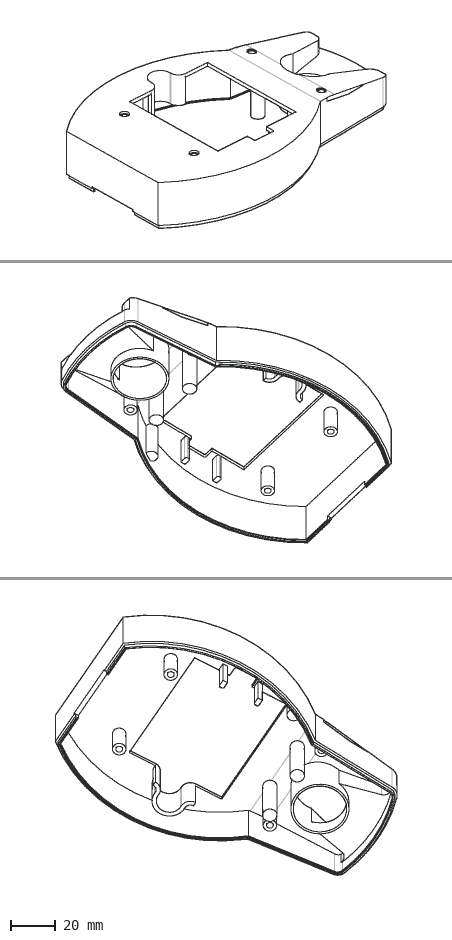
import cadquery as cq
import math

BODY_TOP = 22.7
LIP_DEPTH = 2.3
PIN_DEPTH = 4.2
WALL = 2.3
ROOF = 2.0
LIP_INSET = 1.0
REBATE_TOP = -1.4
REBATE_WIDTH = 0.5

BELLY_HALF_WIDTH = 96.2 / 2
BELLY_END_HALF_WIDTH = 30.0
BELLY_HALF_LENGTH = 50.1
NOSE_TIP_Y = 100.5
NOSE_CORNER_X = 26.0
NOSE_CORNER_Y = 95.8
NOSE_CORNER_RADIUS = 5.4

SLOPE_START_Y = BELLY_HALF_LENGTH
SLOPE_BLEND_LENGTH = 9.6
SLOPE_ANGLE = 10.7

LEDGE_TOP = 7.8
HORN_END_Y = 95.6
HORN_INNER_X = 17.3
HORN_CORNER_RADIUS = 4.5
POCKET_NECK_X = 11.1
POCKET_WALL = 1.0
EYE_Y = 70.2
EYE_DIAMETER = 24.0
EYE_TUBE_DIAMETER = 26.0

WINDOW_WIDTH = 57.7
WINDOW_LENGTH = 48.2
WINDOW_Y = 11.9
NOTCH_WIDTH = 11.7
LEFT_NOTCH_X = -40.0
LEFT_NOTCH_MOUTH_RADIUS = 4.7
RIGHT_NOTCH_X = 33.9
RIGHT_NOTCH_RADIUS = 0.8

SCREW_X = 22.7
SCREW_FRONT_Y = -21.1
SCREW_REAR_Y = 57.5
SCREW_DIAMETER = 3.0
SCREW_HEAD_DIAMETER = 4.4
SCREW_HEAD_DEPTH = 1.2
BOSS_DIAMETER = 6.0
BOSS_BOTTOM = 7.5

PIN_X = 12.0
PIN_Y = 51.2
PIN_DIAMETER = 6.5

FRONT_SLOT_WIDTH = 26.7
FRONT_SLOT_TOP = 0.9

GUIDE_LENGTH = 3.8
GUIDE_THICKNESS = 2.4
GUIDE_EDGE_RADIUS = 0.9
GUIDE_BOTTOM = 6.5
GUIDE_CENTERS_Y = (1.5, 19.7)

POST_X = 35.2
POST_Y = 35.7
POST_DIAMETER = 6.0
POST_BOTTOM = 2.4

SLEEVE_WALL = 2.0
SLEEVE_BOTTOM = 6.5

RELIEF_DEPTH = 0.2
SIDE_RELIEF = [(54.7, 20.6), (69.0, 17.8), (78.7, 17.8)]

WINDOW_HALF_WIDTH = WINDOW_WIDTH / 2
ROOF_UNDERSIDE = BODY_TOP - ROOF


def offset_prism(prism, growth, height):
    """Upright prism with its outline moved outwards by growth, keeping sharp corners."""
    base_z = prism.val().BoundingBox().zmin
    outline = prism.faces("<Z").wires().val()
    grown = outline.offset2D(growth, "intersection")
    return cq.Workplane("XY", origin=(0, 0, base_z)).add(grown).toPending().extrude(height, combine=False)


def slab(z_bottom, z_top, inset=0.0):
    """Plan outline of the body, moved inwards by inset, between two heights."""
    outline = (
        cq.Workplane("XY", origin=(0, 0, z_bottom))
        .moveTo(-BELLY_END_HALF_WIDTH, -BELLY_HALF_LENGTH)
        .lineTo(BELLY_END_HALF_WIDTH, -BELLY_HALF_LENGTH)
        .threePointArc((BELLY_HALF_WIDTH, 0), (BELLY_END_HALF_WIDTH, BELLY_HALF_LENGTH))
        .lineTo(NOSE_CORNER_X, NOSE_CORNER_Y)
        .threePointArc((0, NOSE_TIP_Y), (-NOSE_CORNER_X, NOSE_CORNER_Y))
        .lineTo(-BELLY_END_HALF_WIDTH, BELLY_HALF_LENGTH)
        .threePointArc((-BELLY_HALF_WIDTH, 0), (-BELLY_END_HALF_WIDTH, -BELLY_HALF_LENGTH))
        .close()
    )
    rounded = (
        outline.extrude(z_top - z_bottom)
        .edges("|Z").edges(">Y").fillet(NOSE_CORNER_RADIUS)
    )
    if inset == 0:
        return rounded
    return offset_prism(rounded, -inset, z_top - z_bottom)


def above_slope(drop):
    """Space above the sloping nose roof, lowered by drop."""
    angle = math.radians(SLOPE_ANGLE)
    blend_radius = SLOPE_BLEND_LENGTH / math.sin(angle)
    top = BODY_TOP - drop

    def blend_point(turn):
        y = SLOPE_START_Y + blend_radius * math.sin(turn)
        z = top - blend_radius * (1 - math.cos(turn))
        return (y, z)

    blend_end_y, blend_end_z = blend_point(angle)
    far_y = NOSE_TIP_Y + WALL
    far_z = blend_end_z - (far_y - blend_end_y) * math.tan(angle)
    return (
        cq.Workplane("YZ")
        .moveTo(SLOPE_START_Y, top)
        .threePointArc(blend_point(angle / 2), (blend_end_y, blend_end_z))
        .lineTo(far_y, far_z)
        .lineTo(far_y, BODY_TOP + ROOF)
        .lineTo(SLOPE_START_Y, BODY_TOP + ROOF)
        .close()
        .extrude(BELLY_HALF_WIDTH, both=True)
    )


def cylinder(x, y, diameter, z_bottom, z_top):
    """Upright cylinder between two heights."""
    return cq.Workplane("XY", origin=(x, y, z_bottom)).circle(diameter / 2).extrude(z_top - z_bottom)


def nose_pocket(z_bottom, growth):
    """Open space between the horns, enlarged sideways by growth."""
    far_x = BELLY_HALF_WIDTH
    far_y = NOSE_TIP_Y + WALL
    right_edge = [
        (POCKET_NECK_X, EYE_Y),
        (HORN_INNER_X, HORN_END_Y),
        (far_x, HORN_END_Y),
        (far_x, far_y),
    ]
    left_edge = [(-x, y) for x, y in reversed(right_edge)]
    height = BODY_TOP - z_bottom
    plane = cq.Workplane("XY", origin=(0, 0, z_bottom))
    pocket = plane.polyline(right_edge + left_edge).close().extrude(height)
    for side in (-1, 1):
        corner = cq.selectors.NearestToPointSelector((side * HORN_INNER_X, HORN_END_Y, z_bottom + height / 2))
        pocket = pocket.edges("|Z").edges(corner).fillet(HORN_CORNER_RADIUS)
    if growth == 0:
        return pocket
    return offset_prism(pocket, growth, height)


def window(z_bottom):
    """Rectangular opening with a round-ended notch on the left and a square one on the right."""
    opening_height = BODY_TOP - z_bottom
    plane = cq.Workplane("XY", origin=(0, WINDOW_Y, z_bottom))
    notch_end_radius = NOTCH_WIDTH / 2
    left_depth = -LEFT_NOTCH_X - notch_end_radius
    right_depth = RIGHT_NOTCH_X
    opening = plane.rect(WINDOW_WIDTH, WINDOW_LENGTH).extrude(opening_height)
    left = plane.center(-left_depth / 2, 0).rect(left_depth, NOTCH_WIDTH).extrude(opening_height)
    left_end = cylinder(-left_depth, WINDOW_Y, NOTCH_WIDTH, z_bottom, BODY_TOP)
    right = (
        plane.center(right_depth / 2, 0).rect(right_depth, NOTCH_WIDTH).extrude(opening_height)
        .edges("|Z and >X").fillet(RIGHT_NOTCH_RADIUS)
    )
    opening = opening.union(left).union(left_end)
    for side in (-1, 1):
        mouth = cq.selectors.NearestToPointSelector(
            (-WINDOW_HALF_WIDTH, WINDOW_Y + side * NOTCH_WIDTH / 2, z_bottom + opening_height / 2)
        )
        opening = opening.edges("|Z").edges(mouth).fillet(LEFT_NOTCH_MOUTH_RADIUS)
    return opening.union(right)


eye_tube = cylinder(0, EYE_Y, EYE_TUBE_DIAMETER, 0, BODY_TOP)
lip_rebate = slab(-LIP_DEPTH, REBATE_TOP, WALL - REBATE_WIDTH)
cavity = (
    slab(-LIP_DEPTH, ROOF_UNDERSIDE, WALL)
    .cut(above_slope(ROOF))
    .cut(nose_pocket(LEDGE_TOP - ROOF, POCKET_WALL))
    .cut(eye_tube)
    .union(lip_rebate)
)
body = slab(0, BODY_TOP).union(slab(-LIP_DEPTH, 0, LIP_INSET)).cut(cavity)

screw_places = [(sx * SCREW_X, y) for sx in (-1, 1) for y in (SCREW_FRONT_Y, SCREW_REAR_Y)]
for x, y in screw_places:
    body = body.union(cylinder(x, y, BOSS_DIAMETER, BOSS_BOTTOM, ROOF_UNDERSIDE))
for side in (-1, 1):
    body = body.union(cylinder(side * PIN_X, PIN_Y, PIN_DIAMETER, -PIN_DEPTH, ROOF_UNDERSIDE))
body = body.union(cylinder(POST_X, POST_Y, POST_DIAMETER, POST_BOTTOM, ROOF_UNDERSIDE))

sleeve_zone_width = NOTCH_WIDTH + 2 * LEFT_NOTCH_MOUTH_RADIUS
sleeve_zone = cq.Workplane("XY").box(
    BELLY_HALF_WIDTH - WINDOW_HALF_WIDTH, sleeve_zone_width, ROOF_UNDERSIDE, centered=(False, True, False)
).translate((-BELLY_HALF_WIDTH, WINDOW_Y, 0))
sleeve_height = ROOF_UNDERSIDE - SLEEVE_BOTTOM
sleeve = offset_prism(window(SLEEVE_BOTTOM), SLEEVE_WALL, sleeve_height).intersect(sleeve_zone)
body = body.union(sleeve)

body = body.cut(window(SLEEVE_BOTTOM))
body = body.cut(above_slope(0)).cut(nose_pocket(LEDGE_TOP, 0))
body = body.cut(cylinder(0, EYE_Y, EYE_DIAMETER, -LIP_DEPTH, BODY_TOP))
for x, y in screw_places:
    body = body.cut(cylinder(x, y, SCREW_DIAMETER, -LIP_DEPTH, BODY_TOP))
    body = body.cut(cylinder(x, y, SCREW_HEAD_DIAMETER, BODY_TOP - SCREW_HEAD_DEPTH, BODY_TOP))
front_slot_length = 4 * WALL
front_slot = cq.Workplane("XY").box(
    FRONT_SLOT_WIDTH, front_slot_length, FRONT_SLOT_TOP + LIP_DEPTH, centered=(True, True, False)
)
body = body.cut(front_slot.translate((0, -BELLY_HALF_LENGTH, -LIP_DEPTH)))

for y in GUIDE_CENTERS_Y:
    guide = cq.Workplane("XY").box(
        GUIDE_LENGTH, GUIDE_THICKNESS, ROOF_UNDERSIDE - GUIDE_BOTTOM, centered=(False, True, False)
    ).edges("|Z and <X").fillet(GUIDE_EDGE_RADIUS)
    body = body.union(guide.translate((WINDOW_HALF_WIDTH, y, GUIDE_BOTTOM)))

neck_skin = slab(0, BODY_TOP).cut(slab(0, BODY_TOP, RELIEF_DEPTH))
relief_top = [(SIDE_RELIEF[-1][0], BODY_TOP), (SIDE_RELIEF[0][0], BODY_TOP)]
relief_zone = cq.Workplane("YZ").polyline(SIDE_RELIEF + relief_top).close().extrude(BELLY_HALF_WIDTH, both=True)
body = body.cut(neck_skin.intersect(relief_zone))

lip_core = slab(-LIP_DEPTH, REBATE_TOP, LIP_INSET + RELIEF_DEPTH)
lip_skin = slab(-LIP_DEPTH, REBATE_TOP, LIP_INSET).cut(lip_core)
lip_zone = cq.Workplane("XY").box(
    BELLY_HALF_WIDTH - BELLY_END_HALF_WIDTH, 2 * BELLY_HALF_LENGTH, 2 * LIP_DEPTH, centered=(False, True, True)
).translate((-BELLY_HALF_WIDTH, 0, 0))
body = body.cut(lip_skin.intersect(lip_zone))

result = body